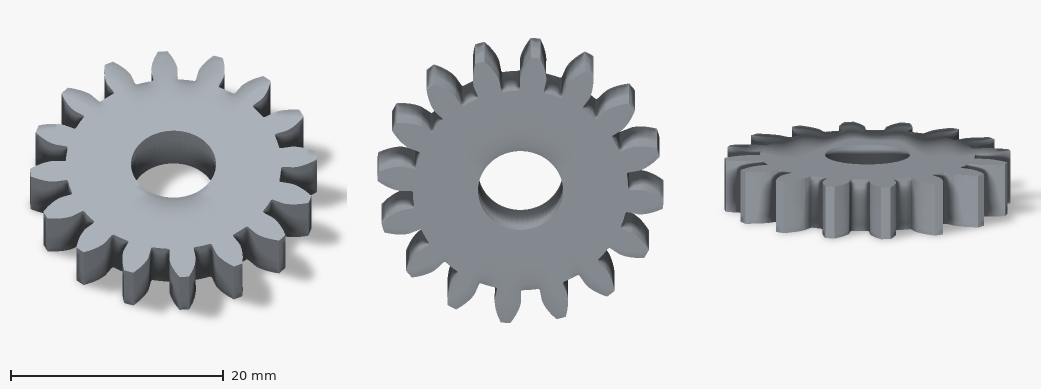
import cadquery as cq
import math

outer_diameter = 27.0
face_width = 5.0
bore_diameter = 8.0
tooth_count = 16
pressure_angle = math.radians(20)
addendum_factor = 1.0
dedendum_factor = 1.25
backlash = 0.08
root_fillet_radius = 0.2
involute_points = 9

module = outer_diameter / (tooth_count + 2 * addendum_factor)
tip_radius = outer_diameter / 2
pitch_radius = module * tooth_count / 2
root_radius = pitch_radius - dedendum_factor * module
base_radius = pitch_radius * math.cos(pressure_angle)
tooth_pitch_angle = 2 * math.pi / tooth_count
pitch_half_angle = tooth_pitch_angle / 4 - backlash / (2 * pitch_radius)
first_tooth_angle = math.pi / 2


def involute(angle):
    return math.tan(angle) - angle


def tooth_half_angle(radius):
    """Half the angle a tooth spans at a radius; flanks are radial below the base circle."""
    flank_angle = math.acos(min(1.0, base_radius / radius))
    return pitch_half_angle + involute(pressure_angle) - involute(flank_angle)


def polar(radius, angle):
    return (radius * math.cos(angle), radius * math.sin(angle))


tip_roll = math.sqrt((tip_radius / base_radius) ** 2 - 1)
flank_rolls = [tip_roll * i / (involute_points - 1) for i in range(involute_points)]
flank_radii = [base_radius * math.sqrt(1 + roll**2) for roll in flank_rolls]


def add_tooth(outline, center_angle):
    """Continue the outline counterclockwise over one tooth and along the root after it."""
    rising = [polar(r, center_angle - tooth_half_angle(r)) for r in flank_radii]
    falling = [polar(r, center_angle + tooth_half_angle(r)) for r in reversed(flank_radii)]
    root_half_angle = tooth_half_angle(root_radius)
    next_tooth_angle = center_angle + tooth_pitch_angle
    return (
        outline.lineTo(*rising[0])
        .spline(rising[1:], includeCurrent=True)
        .threePointArc(polar(tip_radius, center_angle), falling[0])
        .spline(falling[1:], includeCurrent=True)
        .lineTo(*polar(root_radius, center_angle + root_half_angle))
        .threePointArc(
            polar(root_radius, center_angle + tooth_pitch_angle / 2),
            polar(root_radius, next_tooth_angle - root_half_angle),
        )
    )


def gear_blank():
    start_angle = first_tooth_angle - tooth_half_angle(root_radius)
    outline = cq.Workplane("XY").moveTo(*polar(root_radius, start_angle))
    for i in range(tooth_count):
        outline = add_tooth(outline, first_tooth_angle + i * tooth_pitch_angle)
    return outline.close().extrude(face_width)


def round_tooth_roots(gear):
    """Fillet the corners where the radial flanks meet the root circle."""
    corner_limit = (root_radius + base_radius) / 2
    root_corners = [
        edge
        for edge in gear.edges("|Z").vals()
        if math.hypot(edge.Center().x, edge.Center().y) < corner_limit
    ]
    return gear.newObject(root_corners).fillet(root_fillet_radius)


gear = round_tooth_roots(gear_blank())
bore = cq.Workplane("XY").circle(bore_diameter / 2).extrude(face_width)
result = gear.cut(bore)